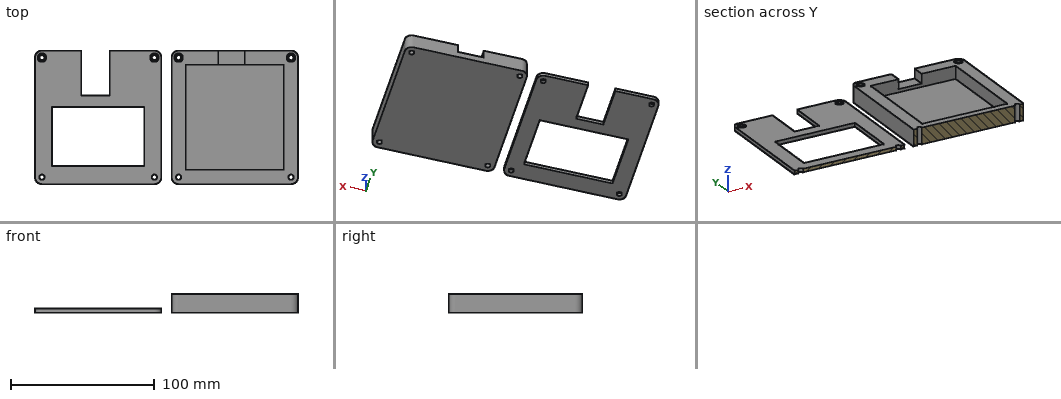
import cadquery as cq
total_length = 183.0
plate_length = 88.0
plate_width = 93.0
corner_radius = 5.0
cover_center_x = -(total_length - plate_length) / 2
housing_center_x = (total_length - plate_length) / 2
left_side = -plate_length / 2
front_side = -plate_width / 2
back_side = plate_width / 2

hole_diameter = 3.5
counterbore_diameter = 6.0
counterbore_depth = 0.1
hole_x = plate_length / 2 - corner_radius
hole_y = plate_width / 2 - corner_radius

cover_thickness = 3.1
window_length = 63.9
window_width = 40.8
window_front_margin = 12.8
cable_slot_length = 19.5
cable_slot_depth = 31.1
cable_slot_left_margin = 32.4

housing_height = 13.2
wall_thickness = 10.0
pocket_depth = 10.0
notch_length = 18.5
notch_depth = 7.5
notch_left_margin = 32.4


def rounded_plate(height):
    """Plate standing on Z = 0, centred on the Z axis, with rounded vertical corners."""
    plate = cq.Workplane("XY").box(plate_length, plate_width, height, centered=(True, True, False))
    return plate.edges("|Z").fillet(corner_radius)


def corner_block(left, front, bottom, length, width, height):
    """Box placed by its left, front, bottom corner."""
    block = cq.Workplane("XY").box(length, width, height, centered=False)
    return block.translate((left, front, bottom))


def drill_screw_holes(plate):
    """Plain holes at the front corners, counterbored holes at the back corners."""
    top = plate.faces(">Z").workplane(origin=(0, 0, 0))
    drilled = top.pushPoints([(-hole_x, -hole_y), (hole_x, -hole_y)]).hole(hole_diameter)
    top = drilled.faces(">Z").workplane(origin=(0, 0, 0))
    back_points = top.pushPoints([(-hole_x, hole_y), (hole_x, hole_y)])
    return back_points.cboreHole(hole_diameter, counterbore_diameter, counterbore_depth)


def make_cover():
    """Thin plate with a rectangular window and a cable slot open to the back."""
    window = corner_block(
        -window_length / 2, front_side + window_front_margin, 0,
        window_length, window_width, cover_thickness,
    )
    cable_slot = corner_block(
        left_side + cable_slot_left_margin, back_side - cable_slot_depth, 0,
        cable_slot_length, cable_slot_depth, cover_thickness,
    )
    cover = drill_screw_holes(rounded_plate(cover_thickness))
    return cover.cut(window).cut(cable_slot).translate((cover_center_x, 0, 0))


def make_housing():
    """Open tray with a notch through its back wall."""
    pocket = corner_block(
        left_side + wall_thickness, front_side + wall_thickness, housing_height - pocket_depth,
        plate_length - 2 * wall_thickness, plate_width - 2 * wall_thickness, pocket_depth,
    )
    notch = corner_block(
        left_side + notch_left_margin, back_side - wall_thickness, housing_height - notch_depth,
        notch_length, wall_thickness, notch_depth,
    )
    housing = drill_screw_holes(rounded_plate(housing_height))
    return housing.cut(pocket).cut(notch).translate((housing_center_x, 0, 0))


cover = make_cover()
housing = make_housing()

result = cq.Compound.makeCompound([cover.val(), housing.val()])